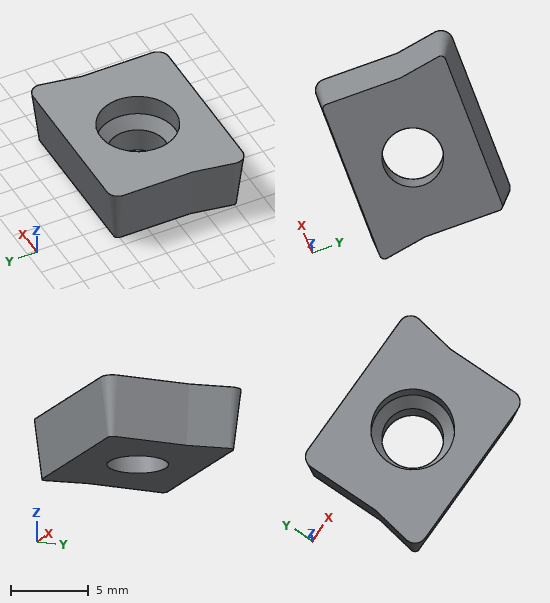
import cadquery as cq
import math

length = 12.52
width = 9.525
thickness = 3.97
clearance_angle = 7.0
corner_radius = 0.8

lean_angle = 10.0
kink_offset = 1.07

head_diameter = 5.36
bore_diameter = 3.96
seat_start_depth = 1.47
seat_end_depth = 2.24


def make_end(inset):
    """Points of the -X end of a section, from the plain corner to the nose corner.

    The inset moves every flank inward; the corner arcs keep their centres.
    """
    lean = math.radians(lean_angle)
    radius = corner_radius - inset

    nose_x = -length / 2 + corner_radius
    nose_y = -width / 2 + corner_radius
    nose_middle_angle = math.pi / 4 - lean / 2
    lean_end = (nose_x - radius * math.cos(lean), nose_y + radius * math.sin(lean))
    nose_middle = (
        nose_x - radius * math.cos(nose_middle_angle),
        nose_y - radius * math.sin(nose_middle_angle),
    )
    nose_end = (nose_x, nose_y - radius)

    kink_y = -kink_offset - inset * math.tan(lean / 2)
    end_x = lean_end[0] + (kink_y - lean_end[1]) * math.tan(lean)
    kink = (end_x, kink_y)

    plain_x = end_x + radius
    plain_y = width / 2 - corner_radius
    plain_start = (plain_x, plain_y + radius)
    plain_middle = (plain_x - radius * math.sqrt(0.5), plain_y + radius * math.sqrt(0.5))
    plain_end = (end_x, plain_y)
    return plain_start, plain_middle, plain_end, kink, lean_end, nose_middle, nose_end


def make_section(height, inset):
    """Closed section at a height; the +X end is the -X end turned half a turn about Z."""
    ends = []
    for turn in (1, -1):
        ends.append([cq.Vector(turn * x, turn * y, height) for x, y in make_end(inset)])

    edges = []
    for end, other_end in (ends, ends[::-1]):
        plain_start, plain_middle, plain_end, kink, lean_end, nose_middle, nose_end = end
        edges.append(cq.Edge.makeThreePointArc(plain_start, plain_middle, plain_end))
        edges.append(cq.Edge.makeLine(plain_end, kink))
        edges.append(cq.Edge.makeLine(kink, lean_end))
        edges.append(cq.Edge.makeThreePointArc(lean_end, nose_middle, nose_end))
        edges.append(cq.Edge.makeLine(nose_end, other_end[0]))
    return cq.Wire.assembleEdges(edges)


def make_body():
    """Block with straight flanks that slope inward by the clearance angle."""
    bottom_inset = thickness * math.tan(math.radians(clearance_angle))
    bottom = make_section(0, bottom_inset)
    top = make_section(thickness, 0)
    return cq.Workplane(cq.Solid.makeLoft([bottom, top], True))


def make_hole():
    """Solid of revolution that cuts the stepped screw hole."""
    head_radius = head_diameter / 2
    bore_radius = bore_diameter / 2
    seat_top = thickness - seat_start_depth
    seat_bottom = thickness - seat_end_depth
    profile = [
        (0, 0),
        (bore_radius, 0),
        (bore_radius, seat_bottom),
        (head_radius, seat_top),
        (head_radius, thickness),
        (0, thickness),
    ]
    return cq.Workplane("XZ").polyline(profile).close().revolve(360, (0, 0), (0, 1))


result = make_body().cut(make_hole())